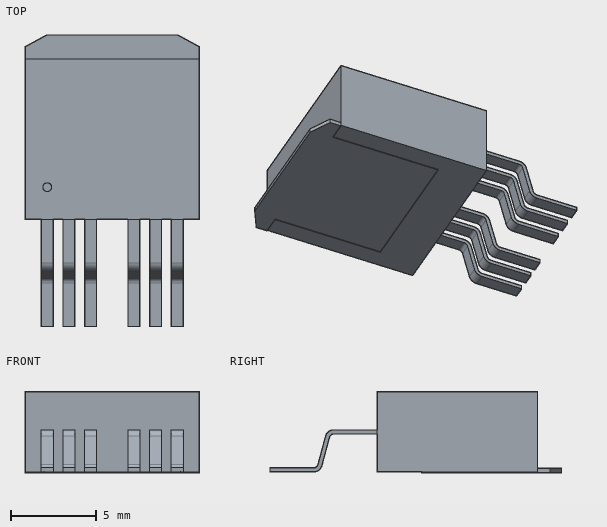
import cadquery as cq
import math

housing_width = 10.21
housing_length = 9.41
housing_height = 4.7

tab_thickness = 0.27
tab_standoff = 0.05
tab_overhang = 1.4
tab_buried_length = 6.8
tab_buried_width = 8.0
tab_corner_x = 1.27
tab_corner_y = 0.69

lead_pitch = 1.27
lead_slots = [-3, -2, -1, 1, 2, 3]
lead_width = 0.71
lead_thickness = 0.25
lead_reach = 6.28
lead_top = 2.47
lead_shoulder = 2.54
lead_lean = math.radians(15)
lead_inner_radius = 0.25
lead_outer_radius = lead_inner_radius + lead_thickness

mark_diameter = 0.51
mark_depth = 0.05
mark_x = lead_slots[0] * lead_pitch
mark_y = 1.89


def make_tab():
    """Flat plate: wide behind the housing with cut corners, narrower where it is buried."""
    half_width = housing_width / 2
    half_buried = tab_buried_width / 2
    front_y = housing_length - tab_buried_length
    rear_y = housing_length + tab_overhang
    outline = [
        (-half_buried, front_y),
        (half_buried, front_y),
        (half_buried, housing_length),
        (half_width, housing_length),
        (half_width, rear_y - tab_corner_y),
        (half_width - tab_corner_x, rear_y),
        (-half_width + tab_corner_x, rear_y),
        (-half_width, rear_y - tab_corner_y),
        (-half_width, housing_length),
        (-half_buried, housing_length),
    ]
    return (
        cq.Workplane("XY")
        .workplane(offset=-tab_standoff)
        .polyline(outline)
        .close()
        .extrude(tab_thickness)
    )


def make_mark():
    """Disc whose top is level with the housing top."""
    return (
        cq.Workplane("XY")
        .workplane(offset=housing_height - mark_depth)
        .center(mark_x, mark_y)
        .circle(mark_diameter / 2)
        .extrude(mark_depth)
    )


def make_housing(tab, mark):
    """Block with matching recesses for the tab and the pin-one mark."""
    block = cq.Workplane("XY").box(
        housing_width, housing_length, housing_height, centered=(True, False, False)
    )
    return block.cut(tab).cut(mark)


def make_lead(x):
    """Bent strip leaving the housing front, stepping down to a foot level with the underside."""
    level = math.pi / 2
    slope = lead_lean
    middle = (level + slope) / 2

    upper = (lead_shoulder, lead_top - lead_outer_radius)
    lower_height = lead_outer_radius
    center_drop = upper[1] - lower_height
    center_spacing = lead_outer_radius + lead_inner_radius
    center_run = center_spacing / math.cos(slope) + center_drop * math.tan(slope)
    lower = (lead_shoulder + center_run, lower_height)

    def on_upper(radius, angle):
        return (-upper[0] - radius * math.cos(angle), upper[1] + radius * math.sin(angle))

    def on_lower(radius, angle):
        return (-lower[0] + radius * math.cos(angle), lower[1] - radius * math.sin(angle))

    return (
        cq.Workplane("YZ")
        .workplane(offset=x - lead_width / 2)
        .moveTo(0, lead_top)
        .lineTo(*on_upper(lead_outer_radius, level))
        .threePointArc(on_upper(lead_outer_radius, middle), on_upper(lead_outer_radius, slope))
        .lineTo(*on_lower(lead_inner_radius, slope))
        .threePointArc(on_lower(lead_inner_radius, middle), on_lower(lead_inner_radius, level))
        .lineTo(-lead_reach, lead_thickness)
        .lineTo(-lead_reach, 0)
        .lineTo(*on_lower(lead_outer_radius, level))
        .threePointArc(on_lower(lead_outer_radius, middle), on_lower(lead_outer_radius, slope))
        .lineTo(*on_upper(lead_inner_radius, slope))
        .threePointArc(on_upper(lead_inner_radius, middle), on_upper(lead_inner_radius, level))
        .lineTo(0, lead_top - lead_thickness)
        .close()
        .extrude(lead_width)
    )


tab = make_tab()
mark = make_mark()
housing = make_housing(tab, mark)
leads = [make_lead(slot * lead_pitch) for slot in lead_slots]

result = cq.Compound.makeCompound(
    [housing.val(), tab.val(), mark.val(), *[lead.val() for lead in leads]]
)